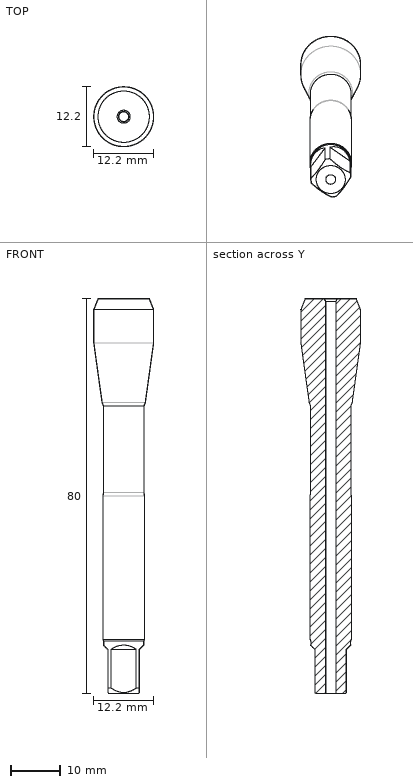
import cadquery as cq

length = 80.0
head_diameter = 12.2

top_face_diameter = 10.4
top_bevel_height = 2.2
head_band_bottom = length - 9.0
taper_bottom = length - 21.0
taper_end_diameter = 8.8
taper_step_height = 0.7

upper_shank_diameter = 8.2
lower_shank_diameter = 8.5
lower_shank_top = 40.0
shank_step_height = 0.7
neck_diameter = 8.2
neck_top = 10.7
neck_bevel_height = 0.2

square_width = 6.4
flat_height = 9.0
end_bevel = 1.1
cut_reach = head_diameter / 2

bore_diameter = 2.0
mouth_diameter = 2.6
mouth_depth = 0.6


def turned_body():
    """Revolve the round outline of the whole pin about Z."""
    neck_radius = neck_diameter / 2
    lower_radius = lower_shank_diameter / 2
    upper_radius = upper_shank_diameter / 2
    head_radius = head_diameter / 2
    outline = [
        (0, 0),
        (neck_radius - end_bevel, 0),
        (neck_radius, end_bevel),
        (neck_radius, neck_top),
        (lower_radius, neck_top + neck_bevel_height),
        (lower_radius, lower_shank_top),
        (upper_radius, lower_shank_top + shank_step_height),
        (upper_radius, taper_bottom - taper_step_height),
        (taper_end_diameter / 2, taper_bottom),
        (head_radius, head_band_bottom),
        (head_radius, length - top_bevel_height),
        (top_face_diameter / 2, length),
        (0, length),
    ]
    return cq.Workplane("XZ").polyline(outline).close().revolve(360, (0, 0), (0, 1))


def flat_cutter():
    """Material removed by the +X flat, ending in a 45 degree ramp at the top."""
    inner = square_width / 2
    outer = cut_reach
    return (
        cq.Workplane("XZ")
        .moveTo(inner, 0)
        .lineTo(outer, 0)
        .lineTo(outer, flat_height + outer - inner)
        .lineTo(inner, flat_height)
        .close()
        .extrude(cut_reach, both=True)
    )


def bore():
    """Through bore with a countersunk mouth in the top face."""
    bore_radius = bore_diameter / 2
    outline = [
        (0, 0),
        (bore_radius, 0),
        (bore_radius, length - mouth_depth),
        (mouth_diameter / 2, length),
        (0, length),
    ]
    return cq.Workplane("XZ").polyline(outline).close().revolve(360, (0, 0), (0, 1))


result = turned_body()

for angle in (0, 90, 180, 270):
    result = result.cut(flat_cutter().rotate((0, 0, 0), (0, 0, 1), angle))

result = result.cut(bore())